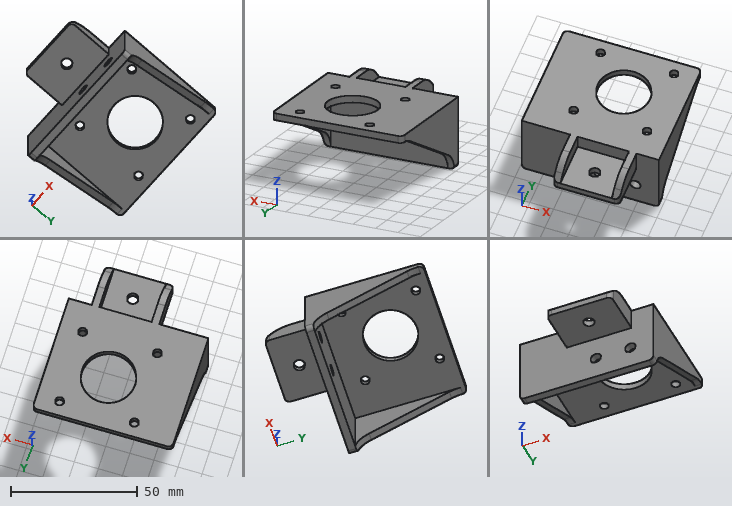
import cadquery as cq
import math

width = 58.0
height = 29.9
total_depth = 69.0
plate_depth = 49.1
tab_length = total_depth - plate_depth
plate_thickness = 3.0
wall_thickness = 3.3
gusset_thickness = 3.0
corner_radius = 2.0

gusset_slope = math.radians(27.7)
upper_blend_radius = 10.0
lower_blend_start_y = 9.05

motor_x = 33.0
motor_y = 27.7
motor_bore = 22.0
motor_screw_pitch = 31.05
motor_screw_diameter = 3.5

tab_left = 20.4
tab_width = 28.1
tab_drop = 9.4
tab_floor = 3.0
rib_thickness = 3.2
rib_arc_radius = 12.0
rib_arc_angle = math.radians(45)
rib_flat_length = 8.35
mount_hole_diameter = 4.5
tab_hole_y = -9.9
wall_hole_positions = (motor_x, 48.0)
wall_hole_z = -19.9


def box(x, y, z, dx, dy, dz):
    """Box with its lowest corner at (x, y, z)."""
    return cq.Workplane("XY").box(dx, dy, dz, centered=False).translate((x, y, z))


def extrude_along_x(profile, start_x, length):
    """Extrude a closed YZ profile towards +X."""
    return profile.extrude(length).translate((start_x, 0, 0))


def vertical_cylinder(x, y, diameter):
    return cq.Workplane("XY").center(x, y).circle(diameter / 2).extrude(-height)


def gusset(start_x):
    """Side gusset blended into the plate and towards the foot of the wall."""
    upper_start_y = plate_depth - corner_radius
    upper_end_y = upper_start_y - upper_blend_radius * math.sin(gusset_slope)
    upper_end_z = -plate_thickness - upper_blend_radius * (1 - math.cos(gusset_slope))
    lower_start_z = upper_end_z - (upper_end_y - lower_blend_start_y) * math.tan(gusset_slope)
    profile = (
        cq.Workplane("YZ")
        .moveTo(plate_depth, -plate_thickness)
        .lineTo(upper_start_y, -plate_thickness)
        .tangentArcPoint((upper_end_y, upper_end_z), relative=False)
        .lineTo(lower_blend_start_y, lower_start_z)
        .tangentArcPoint((wall_thickness, -height), relative=False)
        .lineTo(0, -height)
        .lineTo(0, 0)
        .lineTo(plate_depth, 0)
        .close()
    )
    return extrude_along_x(profile, start_x, gusset_thickness)


def mounting_tab():
    """Floor between two ribs whose tops curve down to the front edge."""
    arc_end_y = -rib_flat_length - rib_arc_radius * math.sin(rib_arc_angle)
    arc_end_z = -rib_arc_radius * (1 - math.cos(rib_arc_angle))
    profile = (
        cq.Workplane("YZ")
        .moveTo(0, 0)
        .lineTo(-rib_flat_length, 0)
        .tangentArcPoint((arc_end_y, arc_end_z), relative=False)
        .lineTo(-tab_length, tab_floor - tab_drop)
        .lineTo(-tab_length, -tab_drop)
        .lineTo(0, -tab_drop)
        .close()
    )
    tab = extrude_along_x(profile, tab_left, tab_width)
    outline = box(tab_left, -tab_length, -tab_drop, tab_width, tab_length, tab_drop)
    tab = tab.intersect(outline.edges("|Z and <Y").fillet(corner_radius))
    recess = box(
        tab_left + rib_thickness,
        -tab_length,
        tab_floor - tab_drop,
        tab_width - 2 * rib_thickness,
        tab_length,
        tab_drop,
    )
    hole = vertical_cylinder(tab_left + tab_width / 2, tab_hole_y, mount_hole_diameter)
    return tab.cut(recess).cut(hole)


plate = box(0, 0, -plate_thickness, width, plate_depth, plate_thickness)
wall = box(0, 0, -height, width, wall_thickness, height)
body = plate.union(wall)
for gusset_x in (0, width - gusset_thickness):
    body = body.union(gusset(gusset_x))

plan_outline = box(0, 0, -height, width, plate_depth, height).edges("|Z and >Y").fillet(corner_radius)
front_outline = box(0, 0, -height, width, plate_depth, height).edges("|Y and <Z").fillet(corner_radius)
body = body.intersect(plan_outline).intersect(front_outline)

body = body.cut(vertical_cylinder(motor_x, motor_y, motor_bore))
for side_x in (-1, 1):
    for side_y in (-1, 1):
        screw_x = motor_x + side_x * motor_screw_pitch / 2
        screw_y = motor_y + side_y * motor_screw_pitch / 2
        body = body.cut(vertical_cylinder(screw_x, screw_y, motor_screw_diameter))

for hole_x in wall_hole_positions:
    hole = (
        cq.Workplane("XZ")
        .center(hole_x, wall_hole_z)
        .circle(mount_hole_diameter / 2)
        .extrude(-plate_depth)
    )
    body = body.cut(hole)

result = body.union(mounting_tab())